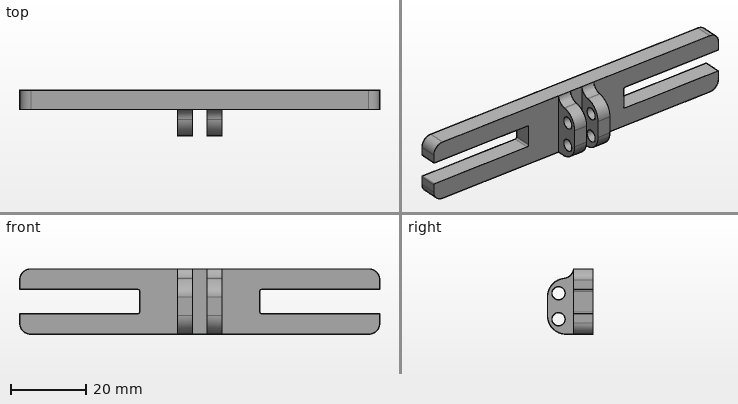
import cadquery as cq
import math

length = 96.0
height = 17.5
plate_thickness = 5.2
corner_radius = 3.0

slot_height = 6.4
slot_depth = 32.0
slot_mouth_radius = 0.2
slot_floor_radius = 0.5

lug_width = 4.0
lug_gap = 3.8
lug_reach = 7.0
lug_nose_radius = 5.0
root_radius = 2.9

hole_diameter = 3.5
hole_spacing = 6.9
hole_offset = 4.0

top = height / 2
bottom = -height / 2

lug_flat_bottom = bottom + lug_nose_radius
lug_flat_top = lug_flat_bottom + lug_nose_radius
nose_center_y = -(lug_reach - lug_nose_radius)
lug_span = 2 * lug_width + lug_gap

root_center_y = -root_radius
root_center_z = lug_flat_top + math.sqrt(
    (root_radius + lug_nose_radius) ** 2 - (nose_center_y - root_center_y) ** 2
)
root_start_y = root_center_y + math.sqrt(root_radius**2 - (root_center_z - top) ** 2)


def make_plate():
    plate = (
        cq.Workplane("XY")
        .box(length, plate_thickness, height)
        .translate((0, plate_thickness / 2, 0))
        .edges("|Y")
        .fillet(corner_radius)
    )
    for side in (-1, 1):
        slot = (
            cq.Workplane("XY")
            .box(slot_depth, plate_thickness, slot_height)
            .translate((side * (length - slot_depth) / 2, plate_thickness / 2, 0))
            .edges("|Y")
            .edges("<X" if side > 0 else ">X")
            .fillet(slot_floor_radius)
        )
        plate = plate.cut(slot)
    mouth_edges = cq.selectors.BoxSelector(
        (-length, -plate_thickness, -slot_height / 2 - slot_mouth_radius),
        (length, 2 * plate_thickness, slot_height / 2 + slot_mouth_radius),
    )
    outer_edges = plate.edges("|Y").edges(mouth_edges).edges("<X or >X")
    return outer_edges.fillet(slot_mouth_radius)


def point_on_arc(center, radius, angle):
    return (center[0] + radius * math.cos(angle), center[1] + radius * math.sin(angle))


def make_lugs():
    root_center = (root_center_y, root_center_z)
    upper_center = (nose_center_y, lug_flat_top)
    lower_center = (nose_center_y, lug_flat_bottom)

    join_angle = math.atan2(root_center[1] - upper_center[1], root_center[0] - upper_center[0])
    join = point_on_arc(upper_center, lug_nose_radius, join_angle)
    start_angle = math.atan2(top - root_center_z, root_start_y - root_center_y)
    root_middle = point_on_arc(root_center, root_radius, (start_angle + join_angle - math.pi) / 2)
    upper_middle = point_on_arc(upper_center, lug_nose_radius, (join_angle + math.pi) / 2)
    lower_middle = point_on_arc(lower_center, lug_nose_radius, 5 * math.pi / 4)

    lugs = (
        cq.Workplane("YZ", origin=(-lug_span / 2, 0, 0))
        .moveTo(root_start_y, top)
        .threePointArc(root_middle, join)
        .threePointArc(upper_middle, (-lug_reach, lug_flat_top))
        .lineTo(-lug_reach, lug_flat_bottom)
        .threePointArc(lower_middle, (nose_center_y, bottom))
        .lineTo(plate_thickness / 2, bottom)
        .lineTo(plate_thickness / 2, top)
        .close()
        .extrude(lug_span)
    )
    gap = cq.Workplane("XY").box(lug_gap, 2 * lug_reach, height).translate((0, -lug_reach, 0))
    lower_hole_z = bottom + hole_offset
    holes = (
        cq.Workplane("YZ", origin=(-lug_span / 2, 0, 0))
        .pushPoints([(-hole_offset, lower_hole_z), (-hole_offset, lower_hole_z + hole_spacing)])
        .circle(hole_diameter / 2)
        .extrude(lug_span)
    )
    return lugs.cut(gap).cut(holes)


result = make_plate().union(make_lugs())